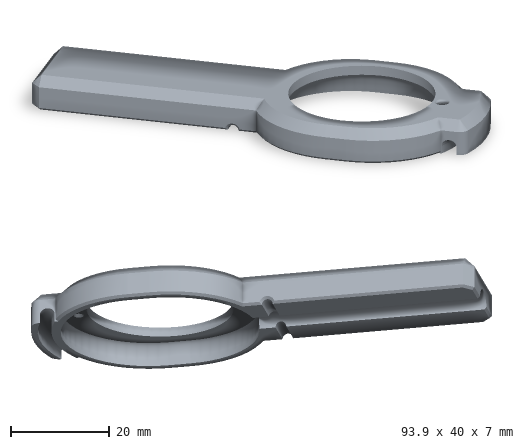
import cadquery as cq
import math

length = 93.9
thickness = 7.0
top_chamfer = 2.0
bottom_chamfer = 0.5

ring_radius = 20.0
straight_length = 4.6
rim_wall = 2.0
pocket_radius = ring_radius - rim_wall
pocket_roof = 2.0
window_radius = 15.0

bar_width = 20.0
half_width = bar_width / 2
handle_reach = 67.6
tab_reach = length - handle_reach
tab_radius = 27.2
tab_corner_radius = 2.1

lip_wall = 1.3
groove_width = 2.8
groove_top = 3.1

handle_channel_radius = 3.0
cross_groove_radius = 1.1
cross_groove_x = -24.6

screw_x = 17.0
screw_radius = 1.0
countersink_radius = 1.5
countersink_depth = 0.75


def obround(radius, height):
    """Upright block whose outline is two half circles joined by straight sides."""
    return cq.Workplane("XY").slot2D(straight_length + 2 * radius, 2 * radius).extrude(height)


def make_ring():
    ring = obround(ring_radius, thickness)
    return ring.faces(">Z").chamfer(top_chamfer).faces("<Z").chamfer(bottom_chamfer)


def make_handle():
    """Bar from the free end to the ring centre, chamfered along its outside."""
    bar = cq.Workplane("XY").box(handle_reach, bar_width, thickness, centered=(False, True, False))
    bar = bar.translate((-handle_reach, 0, 0))
    bar = bar.edges("(>Z and (not >X)) or (|Z and <X)").chamfer(top_chamfer)
    return bar.faces("<Z").edges("not >X").chamfer(bottom_chamfer)


def make_tab():
    """End tab with a curved tip and rounded corners, chamfered along its top."""
    tip_center_x = tab_reach - tab_radius
    corner_x = tip_center_x + math.sqrt(tab_radius**2 - half_width**2)
    return (
        cq.Workplane("XY")
        .moveTo(0, -half_width)
        .lineTo(corner_x, -half_width)
        .threePointArc((tab_reach, 0), (corner_x, half_width))
        .lineTo(0, half_width)
        .close()
        .extrude(thickness)
        .edges("|Z")
        .edges(">X")
        .fillet(tab_corner_radius)
        .faces(">Z")
        .edges("not <X")
        .chamfer(top_chamfer)
    )


def make_lip_groove():
    """Round-topped groove under the tab, following an arc about the ring centre."""
    outer_radius = tab_reach - lip_wall
    inner_radius = outer_radius - groove_width
    middle_radius = outer_radius - groove_width / 2
    arch_z = groove_top - groove_width / 2
    groove = (
        cq.Workplane("XZ")
        .moveTo(inner_radius, 0)
        .lineTo(outer_radius, 0)
        .lineTo(outer_radius, arch_z)
        .threePointArc((middle_radius, groove_top), (inner_radius, arch_z))
        .close()
        .revolve(360, (0, 0, 0), (0, 1, 0))
    )
    tab_zone = cq.Workplane("XY").box(tab_reach, bar_width, thickness, centered=(False, True, False))
    return groove.intersect(tab_zone)


def make_pocket():
    """Window through the top face, opening into a wider pocket below."""
    window = cq.Workplane("XY").circle(window_radius).extrude(thickness)
    return obround(pocket_radius, thickness - pocket_roof).union(window)


def make_handle_channel():
    """Half-round channel from the free end of the handle into the pocket."""
    plane = cq.Workplane("YZ", origin=(-handle_reach, 0, 0))
    return plane.circle(handle_channel_radius).extrude(handle_reach)


def make_cross_groove():
    """Half-round groove across the handle, flared where it leaves each side."""
    half_profile = [
        (0, 0),
        (cross_groove_radius + bottom_chamfer, 0),
        (cross_groove_radius, bottom_chamfer),
        (cross_groove_radius, half_width),
        (0, half_width),
    ]
    half = (
        cq.Workplane("XY")
        .polyline(half_profile)
        .close()
        .revolve(360, (0, 0, 0), (0, 1, 0))
        .translate((cross_groove_x, -half_width, 0))
    )
    return half.union(half.mirror("XZ"))


def make_screw_hole():
    hole = cq.Workplane("XY").circle(screw_radius).extrude(thickness)
    cone = cq.Solid.makeCone(
        screw_radius,
        countersink_radius,
        countersink_depth,
        pnt=cq.Vector(0, 0, thickness - countersink_depth),
    )
    return hole.union(cq.Workplane(cone)).translate((screw_x, 0, 0))


body = make_ring().union(make_handle()).union(make_tab())
openings = (
    make_pocket(),
    make_lip_groove(),
    make_handle_channel(),
    make_cross_groove(),
    make_screw_hole(),
)
for opening in openings:
    body = body.cut(opening)
result = body